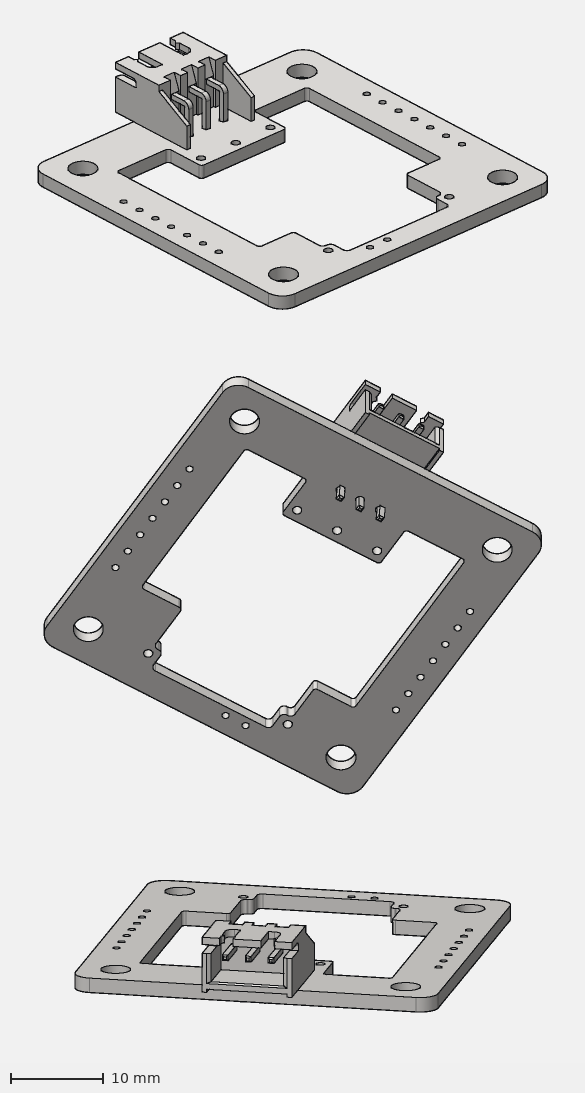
import cadquery as cq

board_side = 40.0
board_thickness = 1.65
board_corner_radius = 2.0
hole_pitch = 2.55

mount_hole_diameter = 3.2
mount_hole_offset = 16.0
signal_hole_diameter = 0.77
signal_hole_count = 7
signal_row_y = 17.75
side_hole_x = 17.85
large_hole_diameter = 1.0
tab_hole_x = -9.1
tab_hole_count = 3
corner_hole_x = 15.3
corner_hole_y = 8.85

window_left = -13.05
window_right = 16.85
window_top = 14.0
window_bottom = -13.8
window_corner_radius = 0.4
tab_end_x = -7.75
tab_half_width = 6.2
upper_shoulder_x = 8.4
lower_shoulder_x = 9.75
shoulder_y = 8.8
recess_left = 14.3
recess_half_width = 7.55
recess_corner_radius = 0.55

overall_length = 42.85
overall_height = 9.5
front_x = board_side / 2 - overall_length
connector_width = 9.9
connector_height = 6.15
connector_length = 11.4
roof_length = 6.95
wing_top_front = 5.35
wing_top_rear = 2.9
wall_thickness = 0.5
inner_width = connector_width - 2 * wall_thickness
foot_height = 0.35

cavity_depth = 5.15
cavity_floor = 1.15
cavity_roof = 5.3
cavity_width = 8.0
mouth_floor = 1.0
mouth_depth = 0.2

side_slot_length = 3.25
side_slot_bottom = 4.35
side_slot_radius = 0.45

roof_slot_length = 3.77
roof_slot_inner_y = 1.55
roof_slot_outer_y = 3.05
roof_slot_radius = 0.8
roof_slot_bump_y = 2.75
roof_slot_bump_start = 0.85
roof_slot_bump_length = 0.32

notch_width = 1.5
notch_front = 5.9
notch_slope_end = 6.7

pin_pitch = 2.55
pin_count = 3
pin_size = 0.65
pin_height = 3.8
pin_start = 0.47
pin_leg_x = 9.1
pin_bend_radius = 0.15
pin_tip_chamfer = 0.17
pin_hole_diameter = 0.95
pin_hole_pitch = 2.5
kink_offset = 0.2

leg_bottom = connector_height - overall_height


def centred_row(count, pitch):
    """Positions of evenly spaced features, centred on zero."""
    return [(i - (count - 1) / 2) * pitch for i in range(count)]


pin_ys = centred_row(pin_count, pin_pitch)


def cut_holes(board, points, diameter):
    drills = (
        cq.Workplane("XY", origin=(0, 0, -board_thickness))
        .pushPoints(points)
        .circle(diameter / 2)
        .extrude(board_thickness)
    )
    return board.cut(drills)


def make_window():
    """Opening of the frame, with a tab on the left and a stepped recess on the right."""
    outline = [
        (window_left, window_top),
        (upper_shoulder_x, window_top),
        (upper_shoulder_x, shoulder_y),
        (recess_left, shoulder_y),
        (recess_left, recess_half_width),
        (window_right, recess_half_width),
        (window_right, -recess_half_width),
        (recess_left, -recess_half_width),
        (recess_left, -shoulder_y),
        (lower_shoulder_x, -shoulder_y),
        (lower_shoulder_x, window_bottom),
        (window_left, window_bottom),
        (window_left, -tab_half_width),
        (tab_end_x, -tab_half_width),
        (tab_end_x, tab_half_width),
        (window_left, tab_half_width),
    ]
    window = (
        cq.Workplane("XY", origin=(0, 0, -board_thickness))
        .polyline(outline)
        .close()
        .extrude(board_thickness)
    )
    split_x = (lower_shoulder_x + recess_left) / 2
    recess_edges = cq.selectors.BoxSelector(
        (split_x, -board_side, -board_thickness), (board_side, board_side, 0)
    )
    plain_edges = cq.selectors.BoxSelector(
        (-board_side, -board_side, -board_thickness), (split_x, board_side, 0)
    )
    window = window.edges("|Z").edges(recess_edges).fillet(recess_corner_radius)
    return window.edges("|Z").edges(plain_edges).fillet(window_corner_radius)


def make_board():
    board = (
        cq.Workplane("XY", origin=(0, 0, -board_thickness))
        .rect(board_side, board_side)
        .extrude(board_thickness)
        .edges("|Z")
        .fillet(board_corner_radius)
        .cut(make_window())
    )
    signs = (-1, 1)
    mount_points = [(sx * mount_hole_offset, sy * mount_hole_offset) for sx in signs for sy in signs]
    signal_points = [
        (x, sy * signal_row_y)
        for x in centred_row(signal_hole_count, hole_pitch)
        for sy in signs
    ]
    side_points = [(side_hole_x, -hole_pitch), (side_hole_x, -2 * hole_pitch)]
    tab_points = [(tab_hole_x, y) for y in centred_row(tab_hole_count, 2 * hole_pitch)]
    corner_points = [(corner_hole_x, sy * corner_hole_y) for sy in signs]
    pin_points = [(front_x + pin_leg_x, y) for y in centred_row(pin_count, pin_hole_pitch)]

    board = cut_holes(board, mount_points, mount_hole_diameter)
    board = cut_holes(board, signal_points + side_points, signal_hole_diameter)
    board = cut_holes(board, tab_points + corner_points, large_hole_diameter)
    return cut_holes(board, pin_points, pin_hole_diameter)


def block(x0, x1, width, z0, z1):
    """Box from x0 to x1 and z0 to z1, centred on Y = 0."""
    return cq.Workplane("XY").box(x1 - x0, width, z1 - z0).translate(((x0 + x1) / 2, 0, (z0 + z1) / 2))


def extrude_profile(points, width, y=0):
    """Closed XZ outline extruded along Y, centred on the given y."""
    return cq.Workplane("XZ", origin=(0, y, 0)).polyline(points).close().extrude(width / 2, both=True)


def make_cavity():
    """Socket open to the front, flared at its mouth on both sides and the floor."""
    socket = block(0, cavity_depth, cavity_width, cavity_floor, cavity_roof)
    mouth_height = cavity_roof - mouth_floor
    socket_height = cavity_roof - cavity_floor
    flare = (
        cq.Workplane("YZ")
        .center(0, cavity_roof - mouth_height / 2)
        .rect(inner_width, mouth_height)
        .workplane(offset=mouth_depth)
        .center(0, (mouth_height - socket_height) / 2)
        .rect(cavity_width, socket_height)
        .loft(ruled=True)
    )
    return socket.union(flare)


def make_side_slots():
    """Slot through both side walls, rounded in its upper rear corner."""
    slot = block(0, side_slot_length, connector_width, side_slot_bottom, cavity_roof)
    return slot.edges(">X and >Z").fillet(side_slot_radius)


def make_roof_slot():
    """Slot in the roof on the +Y side, with a bump and a round rear corner on its outer side."""
    bump_crest = roof_slot_bump_start + roof_slot_bump_length
    bump_end = bump_crest + roof_slot_bump_length
    arc_offset = roof_slot_radius * (1 - 0.5 ** 0.5)
    return (
        cq.Workplane("XY", origin=(0, 0, cavity_roof))
        .moveTo(0, roof_slot_inner_y)
        .lineTo(0, roof_slot_outer_y)
        .lineTo(roof_slot_bump_start, roof_slot_outer_y)
        .lineTo(bump_crest, roof_slot_bump_y)
        .lineTo(bump_end, roof_slot_outer_y)
        .lineTo(roof_slot_length - roof_slot_radius, roof_slot_outer_y)
        .threePointArc(
            (roof_slot_length - arc_offset, roof_slot_outer_y - arc_offset),
            (roof_slot_length, roof_slot_outer_y - roof_slot_radius),
        )
        .lineTo(roof_slot_length, roof_slot_inner_y)
        .close()
        .extrude(connector_height - cavity_roof)
    )


def make_notch(y):
    """Notch in the rear edge of the roof above one pin, sloping down to the top of the pin."""
    outline = [
        (notch_front, connector_height),
        (notch_slope_end, pin_height + pin_size / 2),
        (notch_slope_end, 0),
        (roof_length, 0),
        (roof_length, connector_height),
    ]
    return extrude_profile(outline, notch_width, y)


def make_shroud():
    outline = [
        (0, 0),
        (connector_length, 0),
        (connector_length, wing_top_rear),
        (roof_length, wing_top_front),
        (roof_length, connector_height),
        (0, connector_height),
    ]
    roof_slot = make_roof_slot()
    shroud = (
        extrude_profile(outline, connector_width)
        .cut(block(roof_length, connector_length, inner_width, 0, connector_height))
        .cut(block(0, roof_length, inner_width, 0, foot_height))
        .cut(make_cavity())
        .cut(make_side_slots())
        .cut(roof_slot)
        .cut(roof_slot.mirror("XZ"))
    )
    for y in pin_ys:
        shroud = shroud.cut(make_notch(y))
    return shroud


def make_pin(y, kink):
    """Square pin that runs backward out of the shroud and bends down through the board.

    The leg bows forward by kink between the top of the board and the tip.
    """
    half = pin_size / 2
    outline = [
        (pin_start, pin_height + half),
        (pin_leg_x + half, pin_height + half),
        (pin_leg_x + half, 0),
        (pin_leg_x + half - kink, -board_thickness),
        (pin_leg_x + half, leg_bottom),
        (pin_leg_x - half, leg_bottom),
        (pin_leg_x - half - kink, -board_thickness),
        (pin_leg_x - half, 0),
        (pin_leg_x - half, pin_height - half),
        (pin_start, pin_height - half),
    ]
    inner_corner = cq.selectors.NearestToPointSelector((pin_leg_x - half, y, pin_height - half))
    return (
        extrude_profile(outline, pin_size, y)
        .faces("<X or <Z")
        .chamfer(pin_tip_chamfer)
        .edges("|Y and >X and >Z")
        .fillet(pin_bend_radius + pin_size)
        .edges(inner_corner)
        .fillet(pin_bend_radius)
    )


def make_connector():
    connector = make_shroud()
    for y in pin_ys:
        is_outer = y in (pin_ys[0], pin_ys[-1])
        connector = connector.union(make_pin(y, kink_offset if is_outer else 0))
    return connector.translate((front_x, 0, 0))


connector = make_connector()
board = make_board().cut(connector)
result = cq.Compound.makeCompound([board.val(), connector.val()])